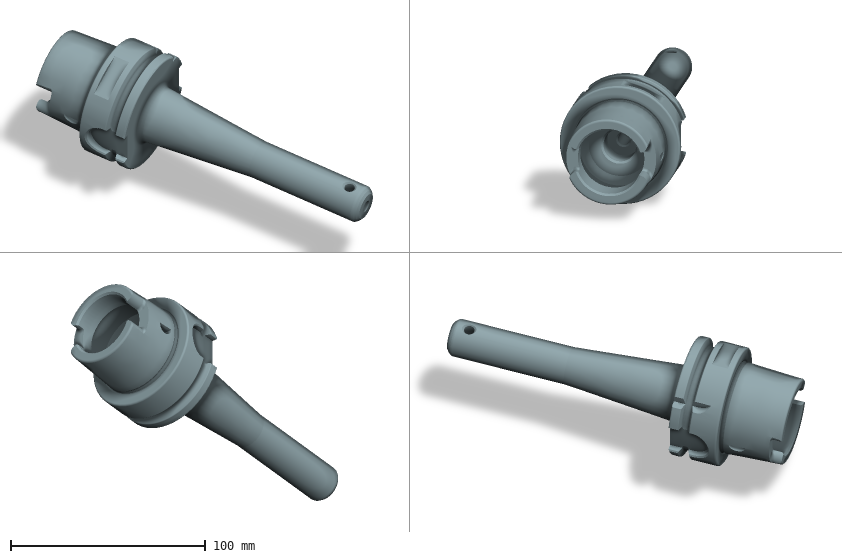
import cadquery as cq
import math

NOSE_LENGTH = 32.0
FLANGE_WIDTH = 26.0
TIP_X = 152.4
END_MARGIN = 10.0
EDGE_TOLERANCE = 0.02

TAPER_DIAMETER = 48.24
TAPER_GAUGE_X = -3.9
TAPER_END_X = -2.0
TAPER_RATIO = 9.98
NOSE_EDGE_RADIUS = 1.2
RELIEF_DEPTH = 0.4
RELIEF_FACE_DEPTH = 0.3
RELIEF_OUTER_RADIUS = 25.2
RELIEF_INNER_RADIUS = 24.6
RELIEF_RUNOUT = 0.7
RELIEF_FLOOR_LENGTH = 0.5

FLANGE_DIAMETER = 63.0
FLANGE_EDGE_RADIUS = 1.0
GROOVE_X = 17.85
GROOVE_WIDTH = 6.2
GROOVE_DIAMETER = 54.9
GROOVE_FLANK_ANGLE = 22.0
GROOVE_RIM_RADIUS = 0.6
GROOVE_FLOOR_RADIUS = 0.9

NECK_FILLET_RADIUS = 2.6
NECK_DIAMETER = 30.2
SHANK_DIAMETER = 19.81
SHANK_START_X = 88.6
TIP_DIAMETER = 14.0
TIP_SHOULDER_X = 149.5
TIP_SHOULDER_RADIUS = 2.0
TIP_BREAK_X = 151.3
TIP_BREAK_DIAMETER = 17.0

MOUTH_DIAMETER = 36.0
MOUTH_CHAMFER = 1.0
LAND_DIAMETER = 34.0
LAND_END_X = -19.2
RECESS_DIAMETER = 40.0
SHOULDER_ANGLE = 60.0
CAVITY_FLOOR_X = -1.0
CAVITY_FLOOR_DIAMETER = 32.0

TUBE_BORE_DIAMETER = 17.0
TUBE_BORE_CHAMFER_DIAMETER = 19.0
TUBE_BORE_DEPTH = 12.0
TOOL_BORE_DIAMETER = 6.35
TOOL_BORE_CHAMFER_DIAMETER = 8.0

DRIVE_SLOT_DEPTHS = {-1: 10.0, 1: 5.9}
DRIVE_SLOT_HALF_WIDTH = 6.15
DRIVE_SLOT_FLAT_Y = 20.4
DRIVE_SLOT_EDGE_RADIUS = 4.0
DRIVE_SLOT_FLOOR_RADIUS = 1.3
DRIVE_SLOT_OUTER_HALF_WIDTH = 12.0

ACCESS_HOLE_X = -9.0
ACCESS_HOLE_DIAMETER = 8.6

KEYWAY_FLOOR_Y = 26.5
KEYWAY_WIDTH = 18.0
KEYWAY_ARC_X = 13.3
KEYWAY_EDGE_CHAMFER = 0.8

NOTCH_WALL = 20.2
NOTCH_FLAT_START_X = 13.0
NOTCH_RUNOUT_RADIUS = 8.1

LABEL_START_X = 3.3
LABEL_LENGTH = 8.4
LABEL_SPAN_ANGLE = 42.8

SCREW_X = 142.6
SCREW_DIAMETER = 5.36
SCREW_COUNTERSINK_DIAMETER = 7.5
SCREW_COUNTERSINK_ANGLE = 90.0

FLANGE_RADIUS = FLANGE_DIAMETER / 2


def taper_radius(x):
    return TAPER_DIAMETER / 2 + (x - TAPER_GAUGE_X) / TAPER_RATIO / 2


def revolve_about_x(outline):
    """Turn a closed outline, drawn as (x, radius), about the X axis."""
    return outline.close().revolve(360, (0, 0, 0), (1, 0, 0))


def round_circles(body, x, radius, fillet):
    """Fillet the full circular edge of the given radius lying at the given x."""
    chosen = []
    for edge in body.edges("%CIRCLE").vals():
        same_x = math.isclose(edge.Center().x, x, abs_tol=EDGE_TOLERANCE)
        if same_x and math.isclose(edge.radius(), radius, abs_tol=EDGE_TOLERANCE):
            chosen.append(edge)
    return body.newObject(chosen).fillet(fillet)


def make_nose():
    nose_radius = taper_radius(-NOSE_LENGTH)
    relief_radius = taper_radius(TAPER_END_X) - RELIEF_DEPTH
    relief_floor_x = TAPER_END_X + RELIEF_RUNOUT
    nose = revolve_about_x(
        cq.Workplane("XY")
        .moveTo(-NOSE_LENGTH, 0)
        .lineTo(-NOSE_LENGTH, nose_radius)
        .lineTo(TAPER_END_X, taper_radius(TAPER_END_X))
        .lineTo(relief_floor_x, relief_radius)
        .lineTo(relief_floor_x + RELIEF_FLOOR_LENGTH, relief_radius)
        .lineTo(RELIEF_FACE_DEPTH, taper_radius(RELIEF_FACE_DEPTH))
        .lineTo(FLANGE_WIDTH / 2, taper_radius(RELIEF_FACE_DEPTH))
        .lineTo(FLANGE_WIDTH / 2, 0)
    )
    return round_circles(nose, -NOSE_LENGTH, nose_radius, NOSE_EDGE_RADIUS)


def make_keyway(side):
    """U-shaped keyway, open toward the shank."""
    half_width = KEYWAY_WIDTH / 2
    end_x = FLANGE_WIDTH + END_MARGIN
    return (
        cq.Workplane("XZ", origin=(0, side * KEYWAY_FLOOR_Y, 0))
        .moveTo(end_x, -half_width)
        .lineTo(KEYWAY_ARC_X, -half_width)
        .threePointArc((KEYWAY_ARC_X - half_width, 0), (KEYWAY_ARC_X, half_width))
        .lineTo(end_x, half_width)
        .close()
        .extrude(-side * END_MARGIN)
    )


def make_keyed_blank():
    """Plain flange cylinder with both keyways cut and their mouth edges chamfered."""
    blank = cq.Workplane("YZ").circle(FLANGE_RADIUS).extrude(FLANGE_WIDTH)
    blank = blank.rotate((0, 0, 0), (1, 0, 0), 90)
    for side in (-1, 1):
        blank = blank.cut(make_keyway(side))
    mouth_edges = []
    for edge in blank.edges("not %CIRCLE").vals():
        ends = (edge.startPoint(), edge.endPoint())
        on_rim = all(math.isclose(math.hypot(p.y, p.z), FLANGE_RADIUS, abs_tol=EDGE_TOLERANCE) for p in ends)
        if on_rim and abs(ends[0].y) > KEYWAY_FLOOR_Y:
            mouth_edges.append(edge)
    return blank.newObject(mouth_edges).chamfer(KEYWAY_EDGE_CHAMFER)


def make_flange():
    groove_radius = GROOVE_DIAMETER / 2
    rim_half = GROOVE_WIDTH / 2
    floor_half = rim_half - (FLANGE_RADIUS - groove_radius) * math.tan(math.radians(GROOVE_FLANK_ANGLE))
    flange = revolve_about_x(
        cq.Workplane("XY")
        .moveTo(RELIEF_FACE_DEPTH, 0)
        .lineTo(RELIEF_FACE_DEPTH, RELIEF_INNER_RADIUS)
        .lineTo(0, RELIEF_OUTER_RADIUS)
        .lineTo(0, FLANGE_RADIUS)
        .lineTo(GROOVE_X - rim_half, FLANGE_RADIUS)
        .lineTo(GROOVE_X - floor_half, groove_radius)
        .lineTo(GROOVE_X + floor_half, groove_radius)
        .lineTo(GROOVE_X + rim_half, FLANGE_RADIUS)
        .lineTo(FLANGE_WIDTH, FLANGE_RADIUS)
        .lineTo(FLANGE_WIDTH, 0)
    )
    for side in (-1, 1):
        flange = round_circles(flange, GROOVE_X + side * rim_half, FLANGE_RADIUS, GROOVE_RIM_RADIUS)
        flange = round_circles(flange, GROOVE_X + side * floor_half, groove_radius, GROOVE_FLOOR_RADIUS)
    for x in (0, FLANGE_WIDTH):
        flange = round_circles(flange, x, FLANGE_RADIUS, FLANGE_EDGE_RADIUS)
    return flange.intersect(make_keyed_blank())


def make_shank():
    neck_radius = NECK_DIAMETER / 2
    shank_radius = SHANK_DIAMETER / 2
    fillet_end_x = FLANGE_WIDTH + NECK_FILLET_RADIUS
    fillet_sag = NECK_FILLET_RADIUS * (1 - math.sqrt(0.5))
    shank = revolve_about_x(
        cq.Workplane("XY")
        .moveTo(FLANGE_WIDTH / 2, 0)
        .lineTo(FLANGE_WIDTH / 2, neck_radius + NECK_FILLET_RADIUS)
        .lineTo(FLANGE_WIDTH, neck_radius + NECK_FILLET_RADIUS)
        .threePointArc((FLANGE_WIDTH + fillet_sag, neck_radius + fillet_sag), (fillet_end_x, neck_radius))
        .lineTo(SHANK_START_X, shank_radius)
        .lineTo(TIP_SHOULDER_X, shank_radius)
        .lineTo(TIP_BREAK_X, TIP_BREAK_DIAMETER / 2)
        .lineTo(TIP_X, TIP_DIAMETER / 2)
        .lineTo(TIP_X, 0)
    )
    return round_circles(shank, TIP_SHOULDER_X, shank_radius, TIP_SHOULDER_RADIUS)


def make_cavity():
    """Everything hollow along the axis: clamping cavity, coolant-tube bore and through tool bore."""
    land_radius = LAND_DIAMETER / 2
    floor_radius = CAVITY_FLOOR_DIAMETER / 2
    recess_radius = RECESS_DIAMETER / 2
    shoulder_length = (recess_radius - land_radius) / math.tan(math.radians(SHOULDER_ANGLE))
    tube_radius = TUBE_BORE_DIAMETER / 2
    tube_chamfer = (TUBE_BORE_CHAMFER_DIAMETER - TUBE_BORE_DIAMETER) / 2
    tube_floor_x = CAVITY_FLOOR_X + TUBE_BORE_DEPTH
    tool_radius = TOOL_BORE_DIAMETER / 2
    tool_chamfer = (TOOL_BORE_CHAMFER_DIAMETER - TOOL_BORE_DIAMETER) / 2
    return revolve_about_x(
        cq.Workplane("XY")
        .moveTo(-NOSE_LENGTH, 0)
        .lineTo(-NOSE_LENGTH, MOUTH_DIAMETER / 2)
        .lineTo(-NOSE_LENGTH + MOUTH_CHAMFER, land_radius)
        .lineTo(LAND_END_X, land_radius)
        .lineTo(LAND_END_X + shoulder_length, recess_radius)
        .lineTo(CAVITY_FLOOR_X - (recess_radius - floor_radius), recess_radius)
        .lineTo(CAVITY_FLOOR_X, floor_radius)
        .lineTo(CAVITY_FLOOR_X, tube_radius + tube_chamfer)
        .lineTo(CAVITY_FLOOR_X + tube_chamfer, tube_radius)
        .lineTo(tube_floor_x, tube_radius)
        .lineTo(tube_floor_x, tool_radius + tool_chamfer)
        .lineTo(tube_floor_x + tool_chamfer, tool_radius)
        .lineTo(TIP_X, tool_radius)
        .lineTo(TIP_X, 0)
    )


def make_drive_slot(side):
    """Slot in the nose end: narrow through the wall, flaring onto a flat at its outer edges."""
    half = DRIVE_SLOT_HALF_WIDTH
    radius = DRIVE_SLOT_EDGE_RADIUS
    flat_y = side * DRIVE_SLOT_FLAT_Y
    tangent_y = side * (DRIVE_SLOT_FLAT_Y - radius)
    mid_y = side * (DRIVE_SLOT_FLAT_Y - radius * (1 - math.sqrt(0.5)))
    mid_z = half + radius * (1 - math.sqrt(0.5))
    outer_y = side * FLANGE_RADIUS
    outer_z = DRIVE_SLOT_OUTER_HALF_WIDTH
    slot = (
        cq.Workplane("YZ", origin=(-NOSE_LENGTH, 0, 0))
        .moveTo(0, -half)
        .lineTo(tangent_y, -half)
        .threePointArc((mid_y, -mid_z), (flat_y, -half - radius))
        .lineTo(flat_y, -outer_z)
        .lineTo(outer_y, -outer_z)
        .lineTo(outer_y, outer_z)
        .lineTo(flat_y, outer_z)
        .lineTo(flat_y, half + radius)
        .threePointArc((mid_y, mid_z), (tangent_y, half))
        .lineTo(0, half)
        .close()
        .extrude(DRIVE_SLOT_DEPTHS[side])
    )
    return slot.faces(">X").edges().fillet(DRIVE_SLOT_FLOOR_RADIUS)


def make_access_hole():
    """Half-round hole through both nose walls, with its flat on the mid plane."""
    radius = ACCESS_HOLE_DIAMETER / 2
    return (
        cq.Workplane("XZ", origin=(ACCESS_HOLE_X, 0, 0))
        .moveTo(-radius, 0)
        .threePointArc((0, -radius), (radius, 0))
        .close()
        .extrude(FLANGE_RADIUS, both=True)
    )


def make_orientation_notch():
    """Square-cornered notch whose floor runs out toward the nose on an arc."""
    depth = FLANGE_RADIUS - NOTCH_WALL
    end_x = FLANGE_WIDTH + END_MARGIN
    top_z = NOTCH_WALL + NOTCH_RUNOUT_RADIUS
    return (
        cq.Workplane("XZ", origin=(0, NOTCH_WALL, 0))
        .moveTo(end_x, NOTCH_WALL)
        .lineTo(NOTCH_FLAT_START_X, NOTCH_WALL)
        .radiusArc((NOTCH_FLAT_START_X - NOTCH_RUNOUT_RADIUS, top_z), NOTCH_RUNOUT_RADIUS)
        .lineTo(end_x, top_z)
        .close()
        .extrude(-depth)
    )


def make_label_flat():
    half_angle = LABEL_SPAN_ANGLE / 2
    chord_height = FLANGE_RADIUS * math.cos(math.radians(half_angle))
    return (
        cq.Workplane("XY", origin=(0, 0, chord_height))
        .moveTo(LABEL_START_X + LABEL_LENGTH / 2, 0)
        .rect(LABEL_LENGTH, FLANGE_DIAMETER)
        .extrude(FLANGE_RADIUS)
        .rotate((0, 0, 0), (1, 0, 0), half_angle)
    )


def make_screw_hole():
    shank_radius = SHANK_DIAMETER / 2
    hole = cq.Workplane("XY", origin=(SCREW_X, 0, 0)).circle(SCREW_DIAMETER / 2).extrude(FLANGE_RADIUS)
    cone_height = SCREW_COUNTERSINK_DIAMETER / 2 / math.tan(math.radians(SCREW_COUNTERSINK_ANGLE / 2))
    cone = cq.Solid.makeCone(
        SCREW_COUNTERSINK_DIAMETER / 2,
        0,
        cone_height,
        pnt=cq.Vector(SCREW_X, 0, shank_radius),
        dir=cq.Vector(0, 0, -1),
    )
    return hole.union(cq.Workplane(cone))


result = make_nose().union(make_flange()).union(make_shank()).cut(make_cavity())
for slot_side in DRIVE_SLOT_DEPTHS:
    result = result.cut(make_drive_slot(slot_side))
result = result.cut(make_access_hole())
result = result.cut(make_orientation_notch())
result = result.cut(make_label_flat())
result = result.cut(make_screw_hole())